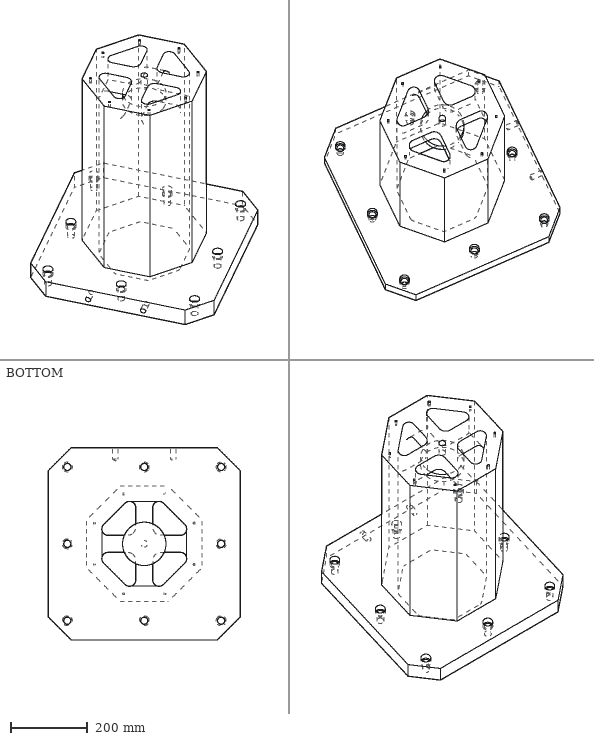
import cadquery as cq
import math

base_side = 500.0
base_thickness = 50.0
base_corner_chamfer = 60.0

octagon_sides = 8
octagon_half_angle = 180 / octagon_sides
total_height = 600.0
column_width = 300.0
wall_thickness = 40.0
cap_thickness = 60.0
cavity_corner_radius = 15.0
cavity_ceiling_radius = 15.0
cavity_width = column_width - 2 * wall_thickness
cap_underside = total_height - cap_thickness

rib_width = 45.0
window_inner_radius = 20.0
window_outer_radius = cavity_corner_radius
window_count = 4

boss_diameter = 113.0
boss_length = 30.0

drill_point_angle = 118.0
mount_pitch = 200.0
mount_diameter = 18.0
mount_counterbore_diameter = 26.0
mount_counterbore_depth = 17.5
cap_hole_diameter = 5.0
cap_hole_circle_radius = 140.5
cap_hole_depth = 15.0
lifting_hole_diameter = 17.5
lifting_hole_depth = 40.0
side_hole_diameter = 14.0
side_hole_depth = 30.0
side_hole_spacing = 150.0
side_hole_height = 18.0


def octagonal_prism(across_flats, bottom, top):
    """Regular octagon with flats on X and Y, extruded between two heights."""
    across_corners = across_flats / math.cos(math.radians(octagon_half_angle))
    return (
        cq.Workplane("XY")
        .workplane(offset=bottom)
        .transformed(rotate=(0, 0, octagon_half_angle))
        .polygon(octagon_sides, across_corners)
        .extrude(top - bottom)
    )


def drilled_hole(start, direction, diameter, depth):
    """Blind hole of full diameter to the given depth, ending in a drill point."""
    radius = diameter / 2
    point_length = radius / math.tan(math.radians(drill_point_angle / 2))
    axis = cq.Vector(*direction)
    entry = cq.Vector(*start)
    bore = cq.Solid.makeCylinder(radius, depth, entry, axis)
    point = cq.Solid.makeCone(radius, 0, point_length, entry + axis * depth, axis)
    return bore.fuse(point)


def cap_window():
    """Cutter for one window: a quarter of the cavity octagon, clear of the ribs.

    It reaches below the cap, through the rounded edge of the ceiling, and runs flush with the cavity walls.
    """
    bottom = cap_underside - cavity_ceiling_radius
    inner = rib_width / 2
    outer = cavity_width / 2
    corner = outer * math.tan(math.radians(octagon_half_angle))
    window = (
        cq.Workplane("XY")
        .workplane(offset=bottom)
        .polyline([(inner, inner), (outer, inner), (outer, corner), (corner, outer), (inner, outer)])
        .close()
        .extrude(total_height - bottom)
    )
    window = window.edges("|Z").edges(">X or >Y").fillet(window_outer_radius)
    return window.edges("|Z").edges("<(1, 1, 0)").fillet(window_inner_radius)


body = (
    cq.Workplane("XY")
    .rect(base_side, base_side)
    .extrude(base_thickness)
    .edges("|Z")
    .chamfer(base_corner_chamfer)
)
body = body.union(octagonal_prism(column_width, 0, total_height))

cavity = octagonal_prism(cavity_width, 0, cap_underside)
cavity = cavity.edges("|Z").fillet(cavity_corner_radius)
cavity = cavity.faces(">Z").edges().fillet(cavity_ceiling_radius)
body = body.cut(cavity)

window_cutter = cap_window()
for quarter in range(window_count):
    body = body.cut(window_cutter.rotate((0, 0, 0), (0, 0, 1), 360 / window_count * quarter))

boss = (
    cq.Workplane("XY")
    .workplane(offset=cap_underside - boss_length)
    .circle(boss_diameter / 2)
    .extrude(boss_length)
)
body = body.union(boss)

mount_points = [
    (column * mount_pitch, row * mount_pitch)
    for column in (-1, 0, 1)
    for row in (-1, 0, 1)
    if (column, row) != (0, 0)
]
mount_holes = cq.Workplane("XY").pushPoints(mount_points).circle(mount_diameter / 2).extrude(base_thickness)
counterbores = (
    cq.Workplane("XY")
    .workplane(offset=base_thickness - mount_counterbore_depth)
    .pushPoints(mount_points)
    .circle(mount_counterbore_diameter / 2)
    .extrude(mount_counterbore_depth)
)
body = body.cut(mount_holes).cut(counterbores)

for corner_index in range(octagon_sides):
    angle = math.radians(octagon_half_angle * (2 * corner_index + 1))
    hole_x = cap_hole_circle_radius * math.cos(angle)
    hole_y = cap_hole_circle_radius * math.sin(angle)
    cap_hole = drilled_hole((hole_x, hole_y, total_height), (0, 0, -1), cap_hole_diameter, cap_hole_depth)
    body = body.cut(cq.Workplane(cap_hole))

lifting_hole = drilled_hole((0, 0, total_height), (0, 0, -1), lifting_hole_diameter, lifting_hole_depth)
body = body.cut(cq.Workplane(lifting_hole))

for side in (-1, 1):
    entry_point = (side * side_hole_spacing / 2, -base_side / 2, side_hole_height)
    side_hole = drilled_hole(entry_point, (0, 1, 0), side_hole_diameter, side_hole_depth)
    body = body.cut(cq.Workplane(side_hole))

result = body